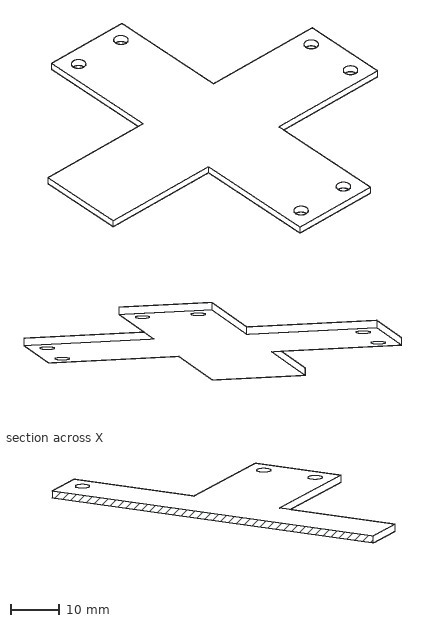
import cadquery as cq

thickness = 1.6
arm_width = 20.0
arm_length = 28.0
front_arm_length = 27.0
hole_diameter = 3.0
hole_spacing = 12.0
hole_end_distance = 4.0

half_width = arm_width / 2
arm_end = half_width + arm_length
front_end = half_width + front_arm_length


def cross_plate():
    """Flat cross made of a bar along X and a bar along Y, underside at Z = 0."""
    x_bar = cq.Workplane("XY").box(2 * arm_end, arm_width, thickness, centered=(True, True, False))
    y_bar = (
        cq.Workplane("XY")
        .box(arm_width, front_end + arm_end, thickness, centered=(True, False, False))
        .translate((0, -front_end, 0))
    )
    return x_bar.union(y_bar)


def mounting_holes():
    """Pairs of through holes near the ends of the left, right and back arms."""
    row = arm_end - hole_end_distance
    centres = []
    for offset in (-hole_spacing / 2, hole_spacing / 2):
        centres += [(-row, offset), (row, offset), (offset, row)]
    return cq.Workplane("XY").pushPoints(centres).circle(hole_diameter / 2).extrude(thickness)


result = cross_plate().cut(mounting_holes())